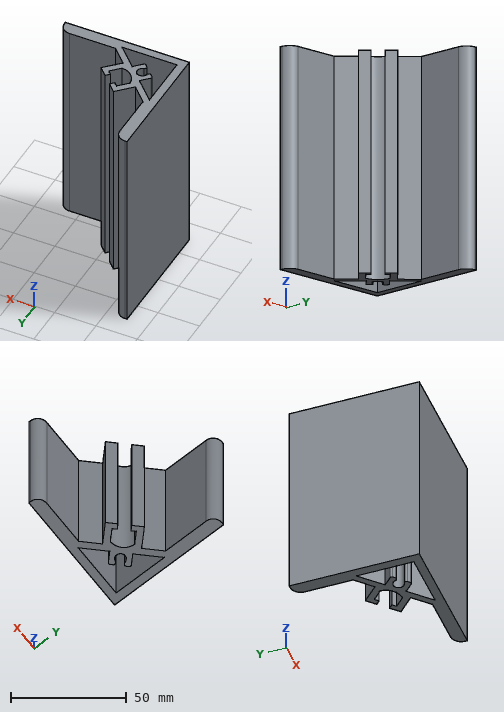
import cadquery as cq
import math

length = 100.0
flange_width = 60.0
flange_thickness = 6.0
tip_radius = 5.0

hollow_wall = 4.0
web_outer = 27.4
web_thickness = 3.0
web_inner = web_outer - web_thickness

channel_width = 17.0
channel_height = 10.0
slot_width = 10.6
slot_mouth = 6.0
lip_thickness = 2.5
slot_wall_base = 1.5
floor_depth = 0.6

port_width = 10.0
port_height = 6.0
port_radius = 2.5
port_center = 21.4
port_mouth = 4.0
port_tip_radius = 0.8

diagonal_plane = cq.Plane(origin=(0, 0, 0), xDir=(1, -1, 0), normal=(0, 0, 1))


def block(width, bottom, top):
    """Full-length bar centred on the diagonal, between two distances from the corner."""
    return (
        cq.Workplane(diagonal_plane)
        .center(0, (bottom + top) / 2)
        .rect(width, top - bottom)
        .extrude(length)
    )


def corner_triangle(offset, diagonal_distance):
    """Right triangle with its corner at (offset, offset), closed by a diagonal face."""
    reach = diagonal_distance * math.sqrt(2) - offset
    return (
        cq.Workplane("XY")
        .polyline([(offset, offset), (reach, offset), (offset, reach)])
        .close()
        .extrude(length)
    )


def flanges():
    x_flange = cq.Workplane("XY").box(flange_width, flange_thickness, length, centered=False)
    x_flange = x_flange.edges("|Z and >X and >Y").fillet(tip_radius)
    y_flange = cq.Workplane("XY").box(flange_thickness, flange_width, length, centered=False)
    y_flange = y_flange.edges("|Z and >X and >Y").fillet(tip_radius)
    return x_flange.union(y_flange)


def slot_cavity():
    """T-slot space: narrow mouth, wide cavity and concave floor."""
    channel_top = web_outer + channel_height
    lip_bottom = channel_top - lip_thickness
    wall_base = web_outer + slot_wall_base
    half_slot = slot_width / 2
    cavity = (
        cq.Workplane(diagonal_plane)
        .moveTo(-half_slot, lip_bottom)
        .lineTo(-half_slot, wall_base)
        .threePointArc((0, web_outer - floor_depth), (half_slot, wall_base))
        .lineTo(half_slot, lip_bottom)
        .close()
        .extrude(length)
    )
    return cavity.union(block(slot_mouth, lip_bottom, channel_top))


def screw_port():
    """C-shaped boss with an open bore and rounded tips."""
    port_bottom = web_inner - port_height
    bore = cq.Workplane(diagonal_plane).center(0, port_center).circle(port_radius).extrude(length)
    mouth = block(port_mouth, port_bottom, port_center)
    port = block(port_width, port_bottom, web_outer).cut(mouth).cut(bore)
    return port.faces("<(1, 1, 0)").edges("|Z").fillet(port_tip_radius)


web = corner_triangle(0, web_outer)
hollow = corner_triangle(hollow_wall, web_inner)
channel = block(channel_width, web_inner, web_outer + channel_height)

result = flanges().union(web).cut(hollow).union(channel).union(screw_port())
result = result.cut(slot_cavity())